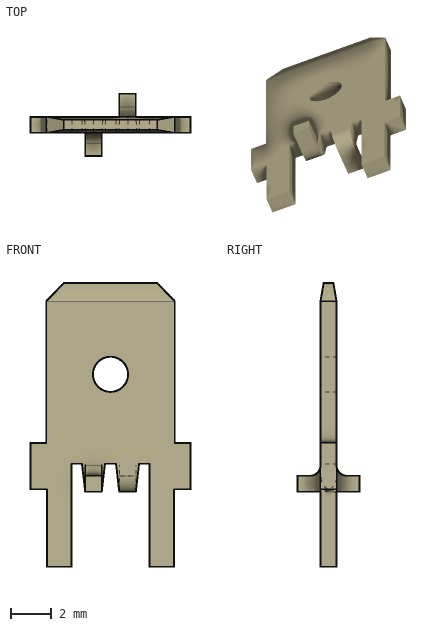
import cadquery as cq

total_height = 14.02
thickness = 0.8
half_thickness = thickness / 2

blade_width = 6.35
tip_height = 0.9
tip_width = 4.6
tip_thickness = 0.49
hole_diameter = 1.72
hole_z = 9.5

shoulder_width = 7.92
shoulder_top = 6.13
shoulder_bottom = 3.83
legs_outer_width = 6.28
legs_inner_width = 3.84
slot_top = 5.09

tab_offset = 0.84
tab_root_width = 1.15
arm_width = 0.83
arm_reach = 1.54
arm_bottom = 3.7
arm_top = arm_bottom + thickness
inner_bend_radius = 0.5
outer_bend_radius = thickness


def block(width, z_bottom, z_top):
    """Full-thickness plate block centred on X and Y."""
    return cq.Workplane("XY").workplane(offset=z_bottom).rect(width, thickness).extrude(z_top - z_bottom)


def make_tip():
    """Blade tip tapering on all four sides."""
    return (
        cq.Workplane("XY")
        .workplane(offset=total_height - tip_height)
        .rect(blade_width, thickness)
        .workplane(offset=tip_height)
        .rect(tip_width, tip_thickness)
        .loft(combine=True)
    )


def make_plate():
    """Flat stamping with blade, shoulders, legs and hole."""
    plate = block(blade_width, shoulder_top, total_height - tip_height)
    plate = plate.union(make_tip())
    plate = plate.union(block(shoulder_width, shoulder_bottom, shoulder_top))
    plate = plate.union(block(legs_outer_width, 0, shoulder_bottom))
    plate = plate.cut(block(legs_inner_width, 0, slot_top))
    hole = (
        cq.Workplane("XZ")
        .center(0, hole_z)
        .circle(hole_diameter / 2)
        .extrude(half_thickness, both=True)
    )
    return plate.cut(hole)


def make_tab():
    """Tab at X = 0, bent toward -Y: a tapered root in the plate and a straight arm."""
    root = (
        cq.Workplane("XZ")
        .moveTo(-tab_root_width / 2, slot_top)
        .lineTo(tab_root_width / 2, slot_top)
        .lineTo(arm_width / 2, arm_bottom)
        .lineTo(-arm_width / 2, arm_bottom)
        .close()
        .extrude(half_thickness, both=True)
    )
    bend_profile = (
        cq.Workplane("YZ")
        .moveTo(-half_thickness, slot_top)
        .lineTo(half_thickness, slot_top)
        .lineTo(half_thickness, arm_bottom + outer_bend_radius)
        .radiusArc((-half_thickness, arm_bottom), outer_bend_radius)
        .close()
        .extrude(tab_root_width / 2, both=True)
    )
    root = root.intersect(bend_profile)
    bend_end_y = -half_thickness - inner_bend_radius
    arm = (
        cq.Workplane("YZ")
        .moveTo(-half_thickness, arm_bottom)
        .lineTo(-arm_reach, arm_bottom)
        .lineTo(-arm_reach, arm_top)
        .lineTo(bend_end_y, arm_top)
        .radiusArc((-half_thickness, arm_top + inner_bend_radius), -inner_bend_radius)
        .close()
        .extrude(arm_width / 2, both=True)
    )
    return root.union(arm)


tab = make_tab()
front_tab = tab.translate((-tab_offset, 0, 0))
back_tab = tab.mirror("XZ").translate((tab_offset, 0, 0))

result = make_plate().union(front_tab).union(back_tab)